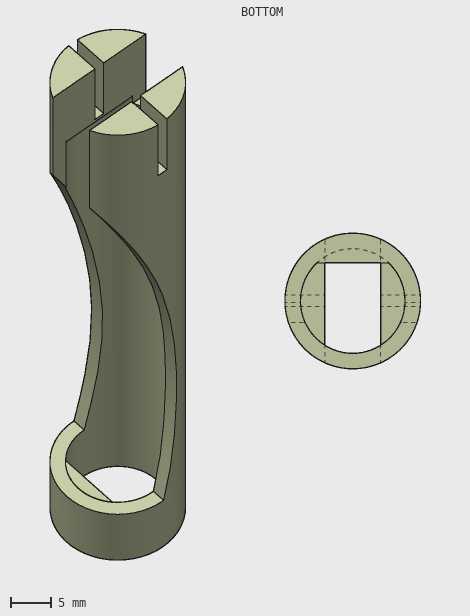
import cadquery as cq

outer_diameter = 16.8
outer_radius = outer_diameter / 2
length = 84.0

bore_radius = 6.5
bore_height = 73.5
lip_depth = 0.1
lip_edge_y = -4.7

wide_slot_width = 6.9
wide_slot_depth = 11.9
front_slot_depth = 25.2
slit_width = 1.4
slit_depth = 10.0

collar_height = 9.1
scoop_end_y = 0.2
scoop_deepest_y = 2.7
scoop_deepest_z = 29.0
scoop_top_y = -7.7
scoop_top_z = 68.8
clearance = 4.2


def make_bore():
    """Round bore with a flat-edged lip inside the base collar."""
    bore = cq.Workplane("XY").circle(bore_radius).extrude(bore_height)
    lip_length = bore_radius + lip_edge_y
    lip = cq.Workplane("XY").box(
        outer_diameter, lip_length, collar_height - lip_depth, centered=(True, False, False)
    )
    return bore.cut(lip.translate((0, -bore_radius, 0)))


def make_head_slot(width_x, width_y, depth):
    """Rectangular slot cut down from the top face."""
    slot = cq.Workplane("XY").box(width_x, width_y, depth, centered=(True, True, False))
    return slot.translate((0, 0, length - depth))


def make_front_slot():
    """Deeper -Y half of the wide slot, running down into the scoop."""
    slot = make_head_slot(wide_slot_width, outer_radius, front_slot_depth)
    return slot.translate((0, -outer_radius / 2, 0))


def make_scoop():
    """Arc-backed cutter that opens the -Y side above the collar."""
    outside_y = -outer_radius - clearance
    return (
        cq.Workplane("YZ")
        .moveTo(outside_y, collar_height)
        .lineTo(scoop_end_y, collar_height)
        .threePointArc((scoop_deepest_y, scoop_deepest_z), (scoop_top_y, scoop_top_z))
        .lineTo(outside_y, scoop_top_z)
        .close()
        .extrude(outer_radius + clearance, both=True)
    )


body = cq.Workplane("XY").circle(outer_radius).extrude(length)
result = (
    body.cut(make_bore())
    .cut(make_scoop())
    .cut(make_head_slot(wide_slot_width, outer_diameter, wide_slot_depth))
    .cut(make_front_slot())
    .cut(make_head_slot(outer_diameter, slit_width, slit_depth))
)